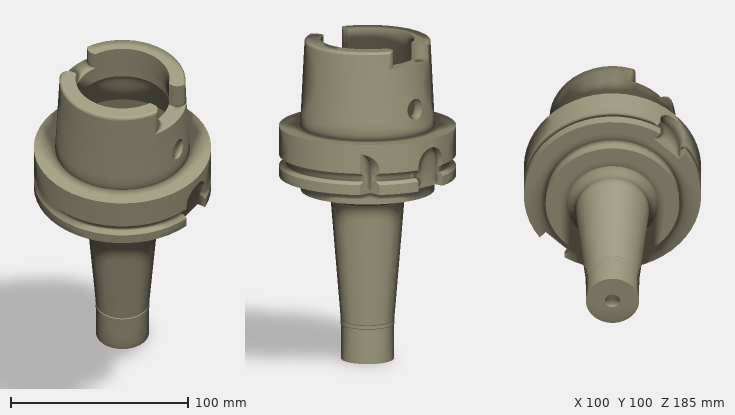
import cadquery as cq
import math


SHANK_LENGTH = 50.0
SHANK_BASE_RADIUS = 38.0
SHANK_TAPER = 0.05
SHANK_TIP_RADIUS = SHANK_BASE_RADIUS - SHANK_TAPER * SHANK_LENGTH
SHANK_EDGE_ROUND = 1.8

BORE_RADIUS = 26.5
BORE_DEPTH = 20.0
UNDERCUT_RADIUS = 31.5
CLAMPING_ANGLE = 30.0
SHOULDER_DROP = (UNDERCUT_RADIUS - BORE_RADIUS) * math.tan(math.radians(CLAMPING_ANGLE))
BORE_FLOOR_Z = 9.0
CROSS_HOLE_RADIUS = 6.0
CROSS_HOLE_Z = 15.0

SLOT_WIDTH = 20.0
SLOT_CORNER_RADIUS = 5.0
SLOT_SHOULDER_X = 32.1
SLOT_DEPTHS = {-1: 10.0, 1: 15.0}

FLANGE_RADIUS = 50.0
FLANGE_WIDTH = 29.0
GROOVE_RADIUS = 46.0
GROOVE_CENTER_Z = -20.0
GROOVE_FLOOR_HALF_WIDTH = 1.7
GROOVE_MOUTH_HALF_WIDTH = 3.3
GROOVE_LIP_RADIUS = 48.0

KEYWAY_WIDTH = 19.6
KEYWAY_TOP_Z = -5.0
KEYWAY_FLOOR_X = 44.0
NOTCH_CORNER = 31.3
NOTCH_ARCH_RADIUS = 10.0

COLLAR_RADIUS = 37.7
COLLAR_BOTTOM_Z = -37.3
CONE_TOP_RADIUS = 25.7
NECK_TOP_RADIUS = 20.9
NECK_TOP_Z = COLLAR_BOTTOM_Z - (CONE_TOP_RADIUS - NECK_TOP_RADIUS)
NECK_BOTTOM_Z = -112.5
NECK_BOTTOM_RADIUS = 15.1

NOSE_GAP = 0.5
NOSE_TOP_Z = NECK_BOTTOM_Z - NOSE_GAP
NOSE_BOTTOM_Z = -135.0
NOSE_RADIUS = 15.0
RIM_RADIUS = 15.35
RIM_BOTTOM_Z = -115.0
RIM_CHAMFER = RIM_RADIUS - NOSE_RADIUS
SPIGOT_RADIUS = 8.5
SPIGOT_INSERTION = 24.0
SPIGOT_TOP_Z = NECK_BOTTOM_Z + SPIGOT_INSERTION

COOLANT_SEAT_RADIUS = 12.1
COOLANT_SEAT_DEPTH = 15.0
COOLANT_HOLE_RADIUS = 6.1
NOSE_HOLE_RADIUS = 4.3


def cylinder(radius, bottom_z, top_z):
    return cq.Workplane("XY").workplane(offset=bottom_z).circle(radius).extrude(top_z - bottom_z)


def revolved(points):
    """Turn a (radius, z) outline about the Z axis."""
    return cq.Workplane("XZ").polyline(points).close().revolve(360, (0, 0, 0), (0, 1, 0))


def holder_blank():
    shank = revolved([
        (0, 0),
        (SHANK_BASE_RADIUS, 0),
        (SHANK_TIP_RADIUS, SHANK_LENGTH),
        (0, SHANK_LENGTH),
    ]).faces(">Z").edges().fillet(SHANK_EDGE_ROUND)
    lower = revolved([
        (0, 0),
        (FLANGE_RADIUS, 0),
        (FLANGE_RADIUS, GROOVE_CENTER_Z + GROOVE_MOUTH_HALF_WIDTH),
        (GROOVE_LIP_RADIUS, GROOVE_CENTER_Z + GROOVE_FLOOR_HALF_WIDTH),
        (GROOVE_RADIUS, GROOVE_CENTER_Z + GROOVE_FLOOR_HALF_WIDTH),
        (GROOVE_RADIUS, GROOVE_CENTER_Z - GROOVE_FLOOR_HALF_WIDTH),
        (GROOVE_LIP_RADIUS, GROOVE_CENTER_Z - GROOVE_FLOOR_HALF_WIDTH),
        (FLANGE_RADIUS, GROOVE_CENTER_Z - GROOVE_MOUTH_HALF_WIDTH),
        (FLANGE_RADIUS, -FLANGE_WIDTH),
        (COLLAR_RADIUS, -FLANGE_WIDTH),
        (COLLAR_RADIUS, COLLAR_BOTTOM_Z),
        (CONE_TOP_RADIUS, COLLAR_BOTTOM_Z),
        (NECK_TOP_RADIUS, NECK_TOP_Z),
        (NECK_BOTTOM_RADIUS, NECK_BOTTOM_Z),
        (0, NECK_BOTTOM_Z),
    ])
    return shank.union(lower)


def clamping_bore():
    edge_z = SHANK_LENGTH - BORE_DEPTH
    return revolved([
        (0, SHANK_LENGTH),
        (BORE_RADIUS, SHANK_LENGTH),
        (BORE_RADIUS, edge_z),
        (UNDERCUT_RADIUS, edge_z - SHOULDER_DROP),
        (UNDERCUT_RADIUS, BORE_FLOOR_Z),
        (0, BORE_FLOOR_Z),
    ])


def coolant_passage():
    seat = cylinder(COOLANT_SEAT_RADIUS, BORE_FLOOR_Z - COOLANT_SEAT_DEPTH, BORE_FLOOR_Z)
    hole = cylinder(COOLANT_HOLE_RADIUS, NECK_BOTTOM_Z, BORE_FLOOR_Z)
    socket = cylinder(SPIGOT_RADIUS, NECK_BOTTOM_Z, SPIGOT_TOP_Z)
    return seat.union(hole).union(socket)


def cross_hole():
    return (
        cq.Workplane("YZ")
        .center(0, CROSS_HOLE_Z)
        .circle(CROSS_HOLE_RADIUS)
        .extrude(FLANGE_RADIUS, both=True)
    )


def drive_slot(side):
    """Slot through one wall of the shank, flaring outwards round its two mouth corners."""
    half_width = SLOT_WIDTH / 2
    shoulder_y = half_width + SLOT_CORNER_RADIUS
    round_x = SLOT_SHOULDER_X - SLOT_CORNER_RADIUS
    depth = SLOT_DEPTHS[side]
    return (
        cq.Workplane("XY", origin=(0, 0, SHANK_LENGTH - depth))
        .moveTo(0, -half_width)
        .lineTo(side * round_x, -half_width)
        .radiusArc((side * SLOT_SHOULDER_X, -shoulder_y), side * SLOT_CORNER_RADIUS)
        .lineTo(side * SLOT_SHOULDER_X, -FLANGE_RADIUS)
        .lineTo(side * FLANGE_RADIUS, -FLANGE_RADIUS)
        .lineTo(side * FLANGE_RADIUS, FLANGE_RADIUS)
        .lineTo(side * SLOT_SHOULDER_X, FLANGE_RADIUS)
        .lineTo(side * SLOT_SHOULDER_X, shoulder_y)
        .radiusArc((side * round_x, half_width), side * SLOT_CORNER_RADIUS)
        .lineTo(0, half_width)
        .close()
        .extrude(depth)
    )


def arched_cutter(center_y, radius, floor_x):
    """Round-topped cutter that enters the flange along X, from floor_x out past the rim."""
    arch_z = KEYWAY_TOP_Z - radius
    return (
        cq.Workplane("YZ", origin=(floor_x, center_y, 0))
        .moveTo(-radius, -FLANGE_WIDTH)
        .lineTo(-radius, arch_z)
        .threePointArc((0, KEYWAY_TOP_Z), (radius, arch_z))
        .lineTo(radius, -FLANGE_WIDTH)
        .close()
        .extrude(math.copysign(FLANGE_RADIUS, floor_x))
    )


def make_holder():
    holder = holder_blank().cut(clamping_bore()).cut(coolant_passage()).cut(cross_hole())
    for side in SLOT_DEPTHS:
        holder = holder.cut(drive_slot(side))
        holder = holder.cut(arched_cutter(0, KEYWAY_WIDTH / 2, side * KEYWAY_FLOOR_X))
    notch = arched_cutter(NOTCH_CORNER + NOTCH_ARCH_RADIUS, NOTCH_ARCH_RADIUS, -NOTCH_CORNER)
    return holder.cut(notch)


def make_nose():
    body = cylinder(NOSE_RADIUS, NOSE_BOTTOM_Z, NOSE_TOP_Z)
    rim = cylinder(RIM_RADIUS, RIM_BOTTOM_Z, NOSE_TOP_Z).faces("<Z").chamfer(RIM_CHAMFER)
    spigot = cylinder(SPIGOT_RADIUS, NOSE_TOP_Z, SPIGOT_TOP_Z)
    hole = cylinder(NOSE_HOLE_RADIUS, NOSE_BOTTOM_Z, SPIGOT_TOP_Z)
    return body.union(rim).union(spigot).cut(hole)


holder = make_holder()
nose = make_nose()
result = cq.Compound.makeCompound([holder.val(), nose.val()])